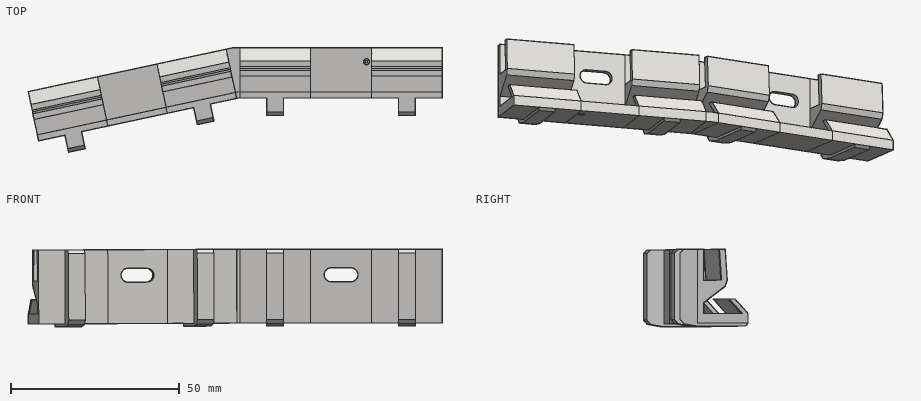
import cadquery as cq
import math

bend_angle = 12.1
rail_droop = 0.25
end_length = 21.0
plate_length = 18.0
joint_half_length = 0.45

depth = 15.0
wall_height = 22.0
wall_thickness = 1.8
floor_thickness = 3.0

lip_top_z = 7.2
lip_foot_y = 13.3
lip_top_back_y = 11.0
lip_top_front_y = 9.3

channel_floor_z = 12.8
fin_knee_z = 10.9
fin_root_z = 6.0
fin_top_back_y = 8.2
fin_top_front_y = 6.5
fin_bottom_back_y = 8.8
fin_bottom_front_y = 7.1

rib_width = 5.0
rib_depth = 5.2
rib_chamfer = 1.1
runner_drop = 0.9
runner_front_drop = 0.1
runner_back_chamfer = 0.7

slot_length = 10.0
slot_height = 4.0
slot_z = 14.4

pin_diameter = 0.9
pin_hole_diameter = 1.7
pin_inset = 1.5
pin_y = 10.8

plate_start = joint_half_length + end_length
plate_end = plate_start + plate_length


def along_x(points, start, length):
    """A solid with a (y, z) outline, extruded along X from `start`."""
    return cq.Workplane("YZ").workplane(offset=start).polyline(points).close().extrude(length)


def make_rib(center_x):
    """Chamfered rib on the wall front with its runner below the floor."""
    points = [
        (depth, 0),
        (depth - runner_back_chamfer, -runner_drop),
        (0, -runner_drop),
        (rib_chamfer - rib_depth, -runner_front_drop),
        (-rib_depth, rib_chamfer),
        (-rib_depth, wall_height - rib_chamfer),
        (rib_chamfer - rib_depth, wall_height),
        (wall_thickness, wall_height),
        (wall_thickness, 0),
    ]
    return along_x(points, center_x - rib_width / 2, rib_width)


def make_channel_piece(start):
    """End piece of a rail: wall, floor, lip and fin, with one rib in the middle of its length."""
    outline = [
        (0, 0),
        (depth, 0),
        (depth, floor_thickness),
        (lip_top_back_y, lip_top_z),
        (lip_top_front_y, lip_top_z),
        (lip_foot_y, floor_thickness),
        (wall_thickness, floor_thickness),
        (wall_thickness, fin_root_z),
        (fin_top_back_y, fin_knee_z),
        (fin_bottom_back_y, channel_floor_z),
        (fin_top_back_y, wall_height),
        (fin_top_front_y, wall_height),
        (fin_bottom_front_y, channel_floor_z),
        (wall_thickness, channel_floor_z),
        (wall_thickness, wall_height),
        (0, wall_height),
    ]
    return along_x(outline, start, end_length).union(make_rib(start + end_length / 2))


def make_plate():
    """Middle piece of a rail: an L of wall and floor with a slot through the wall."""
    points = [
        (0, 0),
        (depth, 0),
        (depth, floor_thickness),
        (wall_thickness, floor_thickness),
        (wall_thickness, wall_height),
        (0, wall_height),
    ]
    slot = (
        cq.Workplane("XZ", origin=(plate_start + plate_length / 2, 0, slot_z))
        .slot2D(slot_length, slot_height)
        .extrude(-wall_thickness)
    )
    return along_x(points, plate_start, plate_length).cut(slot)


def turn_to_angled_rail(body):
    """Place a straight-rail body on the angled rail, on the other side of the bend."""
    mirrored = body.mirror("YZ")
    drooped = mirrored.rotate((-joint_half_length, 0, 0), (-joint_half_length, 1, 0), -rail_droop)
    return drooped.rotate((0, 0, 0), (0, 0, 1), bend_angle)


def make_joint():
    """Bent L piece that joins the two rails."""

    def bent_slab(slab_depth, height):
        angle = math.radians(bend_angle)
        cos, sin = math.cos(angle), math.sin(angle)
        front = (-joint_half_length * cos, -joint_half_length * sin)
        back = (front[0] - slab_depth * sin, front[1] + slab_depth * cos)
        outline = [
            (0, 0),
            (joint_half_length, 0),
            (joint_half_length, slab_depth),
            (-slab_depth * math.tan(angle / 2), slab_depth),
            back,
            front,
        ]
        return cq.Workplane("XY").polyline(outline).close().extrude(height)

    return bent_slab(depth, floor_thickness).union(bent_slab(wall_thickness, wall_height))


def make_floor_cylinder(diameter):
    """Round column through the floor thickness at the place of the pin."""
    origin = (plate_end - pin_inset, pin_y, 0)
    return cq.Workplane("XY", origin=origin).circle(diameter / 2).extrude(floor_thickness)


channel_starts = [joint_half_length, plate_end]
straight_channels = [make_channel_piece(start) for start in channel_starts]
angled_channels = [turn_to_angled_rail(piece) for piece in straight_channels]
straight_plate = make_plate().cut(make_floor_cylinder(pin_hole_diameter))
angled_plate = turn_to_angled_rail(make_plate())
joint = make_joint()
pin = make_floor_cylinder(pin_diameter)

bodies = [*straight_channels, *angled_channels, straight_plate, angled_plate, joint, pin]
result = cq.Compound.makeCompound([body.val() for body in bodies])